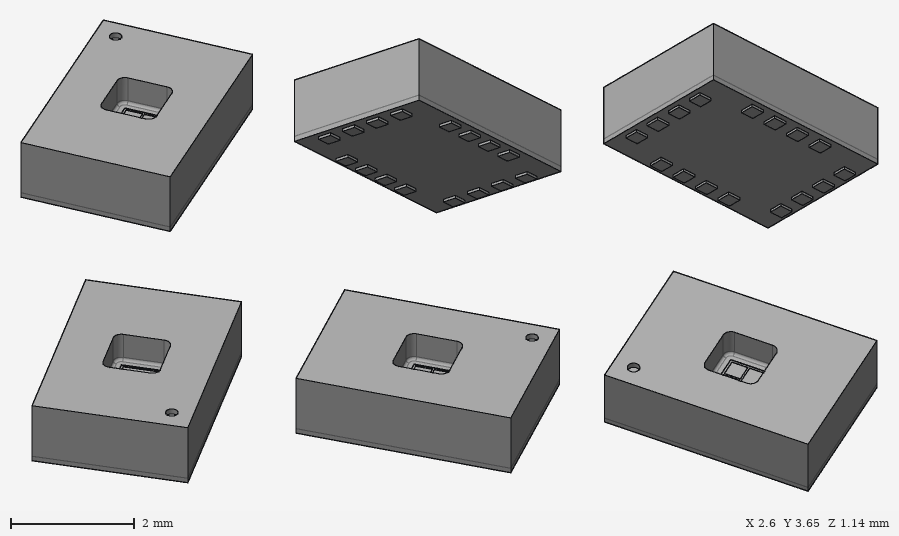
import cadquery as cq

width = 2.6
length = 3.65
height = 1.14
pad_height = 0.047
substrate_height = 0.09
lid_bottom = pad_height + substrate_height
lid_height = height - lid_bottom

pad_size = 0.25
pad_pitch = 0.5
pad_edge_gap = 0.1
pads_per_side = 4

window_size = 0.953
window_corner_radius = 0.135
window_depth = 0.507
window_foot_radius = 0.05
floor_level = height - window_depth

chip_size = 0.683
chip_recess = 0.01
chip_level = floor_level - chip_recess
chip_margin = 0.04
area_gap = 0.033
area_height = 0.007
area_span = chip_size - 2 * chip_margin
area_size = (area_span - area_gap) / 2
area_offset = (area_size + area_gap) / 2

mark_diameter = 0.2
mark_depth = 0.1
mark_inset = 0.355


def block(size_x, size_y, size_z, x=0, y=0, bottom=0):
    """Box centred on (x, y) that stands on the given level."""
    return (
        cq.Workplane("XY", origin=(x, y, bottom))
        .box(size_x, size_y, size_z, centered=(True, True, False))
    )


def make_body():
    substrate = block(width, length, substrate_height, bottom=pad_height)
    lid = block(width, length, lid_height, bottom=lid_bottom)
    return substrate.union(lid, clean=False)


def pad_centers():
    row_y = (length - pad_size) / 2 - pad_edge_gap
    column_x = (width - pad_size) / 2 - pad_edge_gap
    centers = []
    for index in range(pads_per_side):
        along = (index - (pads_per_side - 1) / 2) * pad_pitch
        centers += [(along, -row_y), (along, row_y)]
        centers += [(-column_x, along), (column_x, along)]
    return centers


def make_pads():
    return (
        cq.Workplane("XY")
        .pushPoints(pad_centers())
        .rect(pad_size, pad_size)
        .extrude(pad_height)
    )


def make_window():
    return (
        block(window_size, window_size, window_depth, bottom=floor_level)
        .edges("|Z")
        .fillet(window_corner_radius)
        .faces("<Z")
        .edges()
        .fillet(window_foot_radius)
    )


def make_chip_recess():
    return block(chip_size, chip_size, chip_recess, bottom=chip_level)


def make_active_areas():
    areas = block(area_span, area_size, area_height, 0, -area_offset, chip_level)
    for x in (-area_offset, area_offset):
        areas = areas.union(block(area_size, area_size, area_height, x, area_offset, chip_level))
    return areas


def make_mark():
    x = -width / 2 + mark_inset
    y = length / 2 - mark_inset
    return (
        cq.Workplane("XY", origin=(x, y, height))
        .circle(mark_diameter / 2)
        .extrude(-mark_depth)
    )


result = make_body()
for cutter in (make_window(), make_chip_recess(), make_mark()):
    result = result.cut(cutter, clean=False)
for addition in (make_active_areas(), make_pads()):
    result = result.union(addition, clean=False)